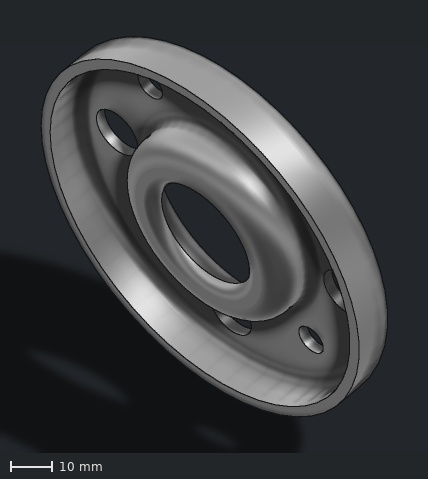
import cadquery as cq
import math

outer_radius = 52.5
rim_height = 14.0
total_height = 14.5
wall = 3.0
bend_inner = wall
bend_outer = bend_inner + wall
hub_radius = 27.0
bore_radius = 15.0
lip_radius = wall

bolt_circle_radius = 37.5
bolt_hole_diameter = 13.5
bolt_hole_count = 4
pin_hole_diameter = 8.0
pin_hole_angles = (135, 315)

hub_floor = total_height - wall
rim_inner_radius = outer_radius - wall


def bend(sketch, center, radius, start_angle, end_angle):
    """Draw to the start of a circular bend, then around it."""
    def point(angle):
        a = math.radians(angle)
        return center[0] + radius * math.cos(a), center[1] + radius * math.sin(a)

    middle = (start_angle + end_angle) / 2
    return sketch.lineTo(*point(start_angle)).threePointArc(point(middle), point(end_angle))


def pressed_shell():
    """Revolve the sheet section: a rimmed plate with a hollow raised hub."""
    rim_center = (outer_radius - bend_outer, bend_outer)
    base_center = (hub_radius + bend_inner, wall + bend_inner)
    top_center = (hub_radius - bend_outer, total_height - bend_outer)
    lip_center = (bore_radius + lip_radius, total_height - lip_radius)

    section = cq.Workplane("XY").moveTo(bore_radius, hub_floor)
    section = bend(section, top_center, bend_inner, 90, 0)
    section = bend(section, base_center, bend_outer, 180, 270)
    section = bend(section, rim_center, bend_outer, -90, 0)
    section = section.lineTo(outer_radius, rim_height).lineTo(rim_inner_radius, rim_height)
    section = bend(section, rim_center, bend_inner, 0, -90)
    section = bend(section, base_center, bend_inner, 270, 180)
    section = bend(section, top_center, bend_outer, 0, 90)
    section = bend(section, lip_center, lip_radius, 90, 180)
    shell = section.close().revolve(360, (0, 0, 0), (0, 1, 0))
    return shell.rotate((0, 0, 0), (0, 0, 1), 180).translate((0, rim_height / 2, 0))


def plate_holes(diameter, angles):
    """Cylinders through the plate on the bolt circle."""
    centers = [
        (bolt_circle_radius * math.cos(math.radians(a)), bolt_circle_radius * math.sin(math.radians(a)))
        for a in angles
    ]
    plane = cq.Workplane("XZ").pushPoints(centers)
    return plane.circle(diameter / 2).extrude(total_height, both=True)


bolt_hole_angles = [i * 360 / bolt_hole_count for i in range(bolt_hole_count)]

result = (
    pressed_shell()
    .cut(plate_holes(bolt_hole_diameter, bolt_hole_angles))
    .cut(plate_holes(pin_hole_diameter, pin_hole_angles))
)